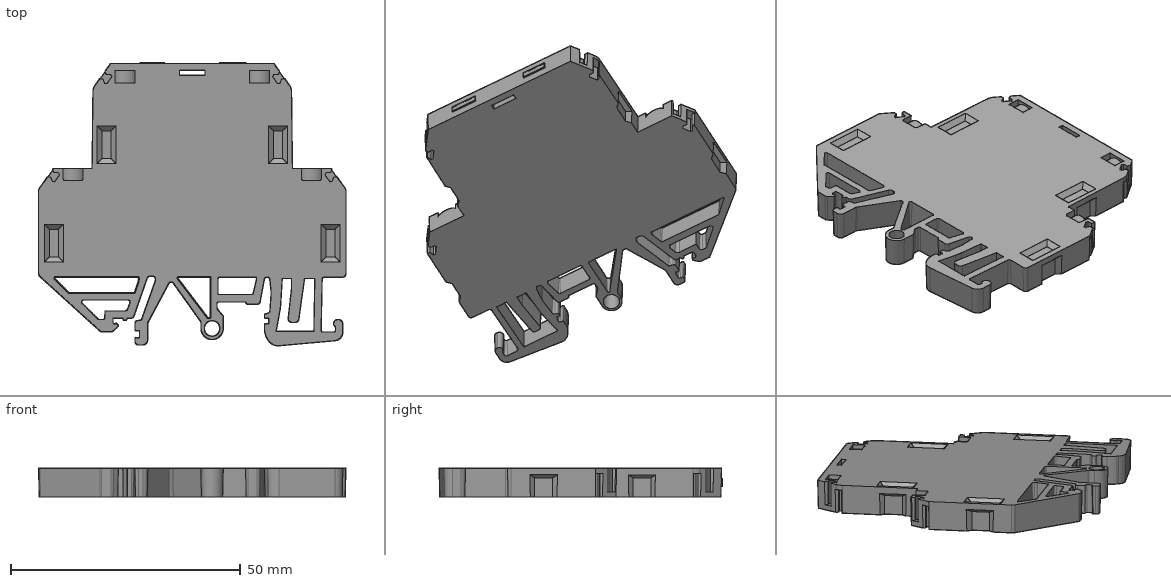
import cadquery as cq
import math

thickness = 6.3
body_half_width = 67.14 / 2
body_top = 30.75
body_bottom = -16.0
lowest_y = -30.96
draft = 1.3
overshoot = 1.0

shoulder_y = 7.83
upper_half_width = 21.9
upper_neck_half_width = 21.7
upper_top_half_width = 17.85
upper_bevel_height = 5.4
upper_bevel_round = 2.7
lower_top_half_width = 30.35
lower_bevel_height = 4.6

eye_x = 4.33
eye_y = -27.15
eye_radius = 2.46
eye_hole_diameter = 3.3

pocket_width = 4.1
pocket_length = 8.2
pocket_depth = 1.0
pocket_inset = 1.1
recess_length = 6.1
recess_height = 4.9
recess_depth = 1.1
recess_end_inset = 1.1
recess_roof_inset = 0.7
recess_shift = 0.4
clip_stations = [
    (18.72, 12.97, upper_half_width),
    (30.2, -8.5, body_half_width),
]

window_width = 4.4
window_length = 2.7
window_depth = 2.2
window_upper_x = 14.65
window_upper_y = 27.84
window_lower_x = 26.0
notch_corner_round = 0.5
ridge_radius = 2.8
ridge_cover = 0.5

groove_half_mouth = 1.0
groove_half_throat = 0.6
groove_half_barb = 1.15
groove_half_head = 0.95
groove_throat_depth = 0.65
groove_barb_depth = 1.5
groove_depth = 1.95
groove_height = 5.15
groove_spacing = 3.3
groove_upper_offset = 3.15
groove_lower_offset = 1.3

slot_width = 5.5
slot_length = 1.0
slot_y = 28.68
pad_height = 0.2
pad_bottom = 2.35
pad_top = 4.1
pad_spans = [(-11.4, -6.1), (5.9, 11.7)]


def rounded_wire(corners, z):
    """Closed wire through (x, y, radius) corners, each corner rounded by its radius."""
    stretches = []
    count = len(corners)
    for i in range(count):
        x, y, radius = corners[i]
        corner = cq.Vector(x, y, z)
        back = (cq.Vector(*corners[i - 1][:2], z) - corner).normalized()
        ahead = (cq.Vector(*corners[(i + 1) % count][:2], z) - corner).normalized()
        if radius == 0:
            stretches.append((corner,))
            continue
        half_angle = back.getAngle(ahead) / 2
        tangent = radius / math.tan(half_angle)
        bisector = (back + ahead).normalized()
        middle = corner + bisector * (radius / math.sin(half_angle) - radius)
        stretches.append((corner + back * tangent, middle, corner + ahead * tangent))
    edges = []
    shortest_line = 1e-4
    for i in range(count):
        stretch = stretches[i]
        following = stretches[(i + 1) % count]
        if len(stretch) == 3:
            edges.append(cq.Edge.makeThreePointArc(*stretch))
        if (following[0] - stretch[-1]).Length > shortest_line:
            edges.append(cq.Edge.makeLine(stretch[-1], following[0]))
    return cq.Wire.assembleEdges(edges)


def inset_corners(corners, inset):
    """Counter-clockwise corners moved inwards by the inset, with their radii following along."""
    moved = []
    count = len(corners)
    for i in range(count):
        x, y, radius = corners[i]
        before_x, before_y, _ = corners[i - 1]
        after_x, after_y, _ = corners[(i + 1) % count]
        length_in = math.hypot(x - before_x, y - before_y)
        length_out = math.hypot(after_x - x, after_y - y)
        normal_in = ((before_y - y) / length_in, (x - before_x) / length_in)
        normal_out = ((y - after_y) / length_out, (after_x - x) / length_out)
        spread = 1 + normal_in[0] * normal_out[0] + normal_in[1] * normal_out[1]
        turns_left = normal_in[0] * normal_out[1] > normal_in[1] * normal_out[0]
        if radius > 0:
            radius += -inset if turns_left else inset
        moved.append((
            x + inset * (normal_in[0] + normal_out[0]) / spread,
            y + inset * (normal_in[1] + normal_out[1]) / spread,
            radius,
        ))
    return moved


def drafted_prism(corners, taper):
    """Prism from Z = 0 to the top face; a positive taper makes it narrower at Z = 0."""
    inset = thickness * math.tan(math.radians(taper))
    bottom = rounded_wire(inset_corners(corners, inset), 0)
    top = rounded_wire(corners, thickness)
    return cq.Workplane(cq.Solid.makeLoft([bottom, top], True))


def mirrored_pair(shape):
    """The shape together with its mirror image across X = 0."""
    return shape.union(shape.mirror("YZ"))


def outline_corners():
    """Corners (x, y, radius) of the outer profile at the top face, counter-clockwise.

    The two tiers are symmetric about X = 0; the feet below them are each their own shape.
    """
    bevel_end_y = body_top - upper_bevel_height
    left_side = [
        (-upper_top_half_width, body_top, 0),
        (-upper_neck_half_width, bevel_end_y, upper_bevel_round),
        (-upper_half_width, shoulder_y, 0),
        (-lower_top_half_width, shoulder_y, 0),
        (-body_half_width, shoulder_y - lower_bevel_height, 0),
    ]
    right_side = [(-x, y, radius) for x, y, radius in reversed(left_side)]
    fixed_foot = [
        (-body_half_width, -15.6, 1.0),
        (-20.0, -27.9, 0.6),
        (-17.4, -27.9, 0.8),
        (-16.0, -26.55, 0.3),
        (-16.6, -25.9, 0.2),
        (-17.0, -26.2, 0.2),
        (-17.3, -25.95, 0),
        (-17.3, -24.92, 0.2),
        (-15.18, -24.92, 0),
        (-15.03, -25.4, 0.2),
        (-14.4, -25.4, 0.2),
        (-14.1, -24.92, 0),
        (-12.85, -24.92, 0.6),
        (-9.65, -15.75, 0.75),
    ]
    spring_leg = [
        (-7.75, -15.75, 0.75),
        (-11.14, -25.27, 0.2),
        (-12.54, -25.5, 0.6),
        (-12.54, -27.67, 0.2),
        (-11.52, -27.67, 0.2),
        (-11.52, -29.13, 0.2),
        (-12.54, -29.13, 0.3),
        (-12.54, -30.77, 0.8),
        (-9.7, -30.77, 1.1),
        (-9.7, -26.0, 0.5),
        (-4.95, -17.1, 0.2),
        (-4.3, -17.1, 0.2),
    ]
    hinge_arm = [
        (eye_x - eye_radius, -25.75, 0.3),
        (eye_x - eye_radius, eye_y - eye_radius, eye_radius),
        (eye_x + eye_radius, eye_y - eye_radius, eye_radius),
        (eye_x + eye_radius, -24.4, 0.3),
        (5.44, -22.8, 0.8),
        (5.44, -21.41, 0.3),
        (11.64, -21.41, 0),
        (11.78, -21.91, 0.5),
        (14.74, -21.91, 0.7),
        (15.85, body_bottom, 0.5),
    ]
    sole_corner_drop = 0.13
    clip_foot = [
        (16.85, body_bottom, 0.5),
        (17.2, -19.3, 2.0),
        (16.9, -23.67, 0.5),
        (15.75, -24.0, 0.2),
        (15.75, -24.95, 0.2),
        (16.7, -24.95, 0.2),
        (16.7, -26.1, 0.2),
        (15.75, -26.1, 0.2),
        (15.75, -28.5, 4.0),
        (17.4, lowest_y - sole_corner_drop, 2.6),
        (32.9, -29.7, 1.9),
        (32.9, -25.15, 1.0),
        (30.8, -25.15, 1.0),
        (30.8, -26.4, 0.15),
        (31.26, -26.85, 0.3),
        (31.26, -27.9, 0.4),
        (28.16, -27.9, 0.4),
        (28.4, body_bottom, 0.4),
    ]
    body_corner = [(body_half_width, body_bottom, 0.8)]
    return left_side + fixed_foot + spring_leg + hinge_arm + clip_foot + body_corner + right_side


def foot_openings():
    """Openings between the body and its feet, all passing through the full thickness."""
    narrowing_draft = 2.0
    wide_opening = [
        (-27.0, -19.5, 0.3),
        (-12.5, -19.5, 0.3),
        (-11.6, -16.9, 0.5),
        (-11.5, -15.75, 0.5),
        (-30.75, -15.75, 0.4),
    ]
    triangle_opening = [
        (4.1, -26.0, 0.5),
        (4.1, -15.75, 0.3),
        (-3.7, -15.75, 0.4),
    ]
    stepped_opening = [
        (-20.4, -25.16, 0.2),
        (-19.15, -25.16, 0.4),
        (-19.06, -23.29, 0),
        (-14.3, -23.29, 0.7),
        (-13.45, -20.98, 0.4),
        (-24.7, -20.98, 0.4),
    ]
    hinge_opening = [
        (5.67, -19.72, 0.2),
        (13.2, -19.72, 0.2),
        (14.1, body_bottom, 0.3),
        (5.67, body_bottom, 0.3),
    ]
    tongue_opening = [
        (19.3, -22.6, 12.0),
        (18.36, -27.73, 0),
        (26.52, -27.73, 0),
        (26.73, -16.24, 0),
        (24.55, -16.24, 0),
        (23.2, -25.86, 0.8),
        (20.8, -25.86, 0.8),
        (21.64, -18.5, 0),
        (21.64, -16.24, 0),
        (19.68, -16.24, 0),
    ]
    openings = drafted_prism(wide_opening, narrowing_draft)
    openings = openings.union(drafted_prism(triangle_opening, narrowing_draft))
    for corners in (stepped_opening, hinge_opening, tongue_opening):
        openings = openings.union(drafted_prism(corners, -draft))
    return openings


def eye_hole():
    """Hole of the hinge eye, widening downwards with the draft."""
    return (
        cq.Workplane("XY", origin=(eye_x, eye_y, thickness))
        .circle(eye_hole_diameter / 2)
        .extrude(-thickness, taper=-draft)
    )


def frustum(plane, width, height, width_inset, height_inset, depth):
    """Rectangular tapered block growing along the plane normal from its full-size face."""
    return (
        cq.Workplane(plane)
        .rect(width, height)
        .workplane(offset=depth)
        .rect(width - 2 * width_inset, height - 2 * height_inset)
        .loft(ruled=True)
    )


def clip_pocket(x, y):
    """Pocket with sloping walls, sunk into the top face."""
    plane = cq.Plane(origin=(x, y, thickness), xDir=(1, 0, 0), normal=(0, 0, -1))
    return frustum(plane, pocket_width, pocket_length, pocket_inset, pocket_inset, pocket_depth)


def wall_recess(wall_x, y):
    """Recess in the +X wall, open at Z = 0, with a sloping roof and sloping ends."""
    plane = cq.Plane(origin=(wall_x, y, 0), xDir=(0, 1, 0), normal=(-1, 0, 0))
    return frustum(
        plane, recess_length, 2 * recess_height, recess_end_inset, recess_roof_inset, recess_depth
    )


def marker_window(x, y_low, y_high):
    """Opening in the top face; the ridge along Y is left standing as its floor."""
    length = y_high - y_low
    opening = (
        cq.Workplane("XY", origin=(x, y_low + length / 2, thickness))
        .rect(window_width, length)
        .extrude(-window_depth)
    )
    ridge = (
        cq.Workplane("XZ", origin=(x, y_high, thickness - ridge_cover - ridge_radius))
        .circle(ridge_radius)
        .extrude(length)
    )
    return opening, ridge


def marker_windows():
    """Closed window in the upper tier and open notch in the shoulder, on the +X side."""
    half_length = window_length / 2
    opening, ridge = marker_window(
        window_upper_x, window_upper_y - half_length, window_upper_y + half_length
    )
    windows = opening.cut(ridge)
    opening, ridge = marker_window(
        window_lower_x, shoulder_y - window_length, shoulder_y + overshoot
    )
    opening = opening.edges("|Z and <Y").fillet(notch_corner_round)
    return windows.union(opening.cut(ridge))


def bevel_grooves(top_x, top_y, end_x, end_y, first_offset):
    """Two barbed grooves on one bevel: one open at the top face, one open at Z = 0."""
    slope_length = math.hypot(end_x - top_x, end_y - top_y)
    along = ((end_x - top_x) / slope_length, (end_y - top_y) / slope_length)
    half_profile = [
        (-overshoot, groove_half_mouth),
        (0, groove_half_mouth),
        (groove_throat_depth, groove_half_throat),
        (groove_barb_depth, groove_half_barb),
        (groove_depth, groove_half_head),
    ]
    profile = half_profile + [(depth, -half) for depth, half in reversed(half_profile)]
    grooves = cq.Workplane("XY")
    for offset, bottom in (
        (first_offset, thickness - groove_height),
        (first_offset + groove_spacing, 0),
    ):
        centre = (top_x + along[0] * offset, top_y + along[1] * offset, bottom)
        inward = (along[1], -along[0], 0)
        plane = cq.Plane(origin=centre, xDir=inward, normal=(0, 0, 1))
        grooves = grooves.union(cq.Workplane(plane).polyline(profile).close().extrude(groove_height))
    return grooves


def end_slot():
    """Narrow slot through the upper tier."""
    return cq.Workplane("XY", origin=(0, slot_y, 0)).rect(slot_width, slot_length).extrude(thickness)


def end_pads():
    """Two thin raised pads on the end face of the upper tier."""
    pads = cq.Workplane("XY")
    for x_low, x_high in pad_spans:
        pad = cq.Workplane("XY").box(
            x_high - x_low, pad_height + overshoot, pad_top - pad_bottom, centered=False
        )
        pads = pads.union(pad.translate((x_low, body_top - overshoot, pad_bottom)))
    return pads


result = drafted_prism(outline_corners(), draft)
result = result.union(end_pads())
result = result.cut(foot_openings())
result = result.cut(eye_hole())
result = result.cut(end_slot())

for pocket_x, pocket_y, wall_x in clip_stations:
    result = result.cut(mirrored_pair(clip_pocket(pocket_x, pocket_y)))
    result = result.cut(mirrored_pair(wall_recess(wall_x, pocket_y + recess_shift)))
result = result.cut(mirrored_pair(marker_windows()))
result = result.cut(mirrored_pair(bevel_grooves(
    upper_top_half_width, body_top,
    upper_neck_half_width, body_top - upper_bevel_height,
    groove_upper_offset,
)))
result = result.cut(mirrored_pair(bevel_grooves(
    lower_top_half_width, shoulder_y,
    body_half_width, shoulder_y - lower_bevel_height,
    groove_lower_offset,
)))